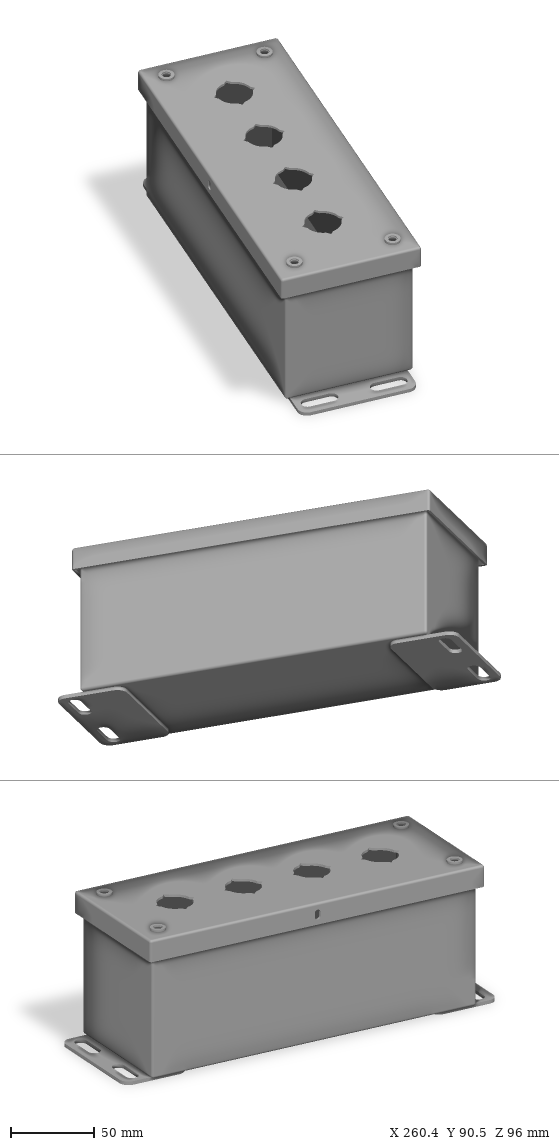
import cadquery as cq

total_length = 260.4
total_height = 96.0
sheet = 1.5
bend_radius = 1.5

foot_thickness = 2.3
foot_length = 44.3
foot_width = 76.3
foot_corner_radius = 6.2
slot_width = 8.0
slot_length = 23.7
slot_x = 120.5
slot_y = 22.5

box_length = 225.7
box_width = 82.5
box_top = 89.0

cover_length = 233.0
cover_width = 90.5
cover_depth = 14.0
head_height = 1.5
cover_top = total_height - head_height
cover_bottom = cover_top - cover_depth
cover_underside = cover_top - sheet

button_count = 4
button_pitch = 47.6
button_row_x = -1.3
button_diameter = 22.5
notch_reach = 13.3
notch_side = 4.2

skirt_slot_width = 4.0
skirt_slot_height = 6.5
skirt_slot_z = 87.0

screw_x = 103.4
screw_y = 31.8
head_diameter = 9.6
shaft_diameter = 6.0
screw_length = 27.0
socket_diameter = 5.7
socket_depth = 0.8
bore_diameter = 5.0
bore_depth = 5.2

stud_diameter = 6.8
stud_x = 86.7
stud_y = -24.7


def sheet_tray(length, width, height, closed_face):
    """Folded sheet tray standing on Z = 0, with one closed face and rounded outer edges."""
    outer = cq.Workplane("XY").box(length, width, height, centered=(True, True, False))
    outer = outer.edges("|Z").fillet(bend_radius).faces(closed_face).edges().fillet(bend_radius)
    cavity = cq.Workplane("XY").box(
        length - 2 * sheet, width - 2 * sheet, height - sheet, centered=(True, True, False)
    )
    if closed_face == "<Z":
        cavity = cavity.translate((0, 0, sheet))
    return outer.cut(cavity)


def make_foot(side):
    """Slotted mounting foot at one end of the box; side is -1 or 1."""
    foot_x = side * (total_length - foot_length) / 2
    plate = (
        cq.Workplane("XY")
        .center(foot_x, 0)
        .rect(foot_length, foot_width)
        .extrude(foot_thickness)
        .edges("|Z")
        .fillet(foot_corner_radius)
    )
    slots = (
        cq.Workplane("XY")
        .pushPoints([(side * slot_x, -slot_y), (side * slot_x, slot_y)])
        .slot2D(slot_length, slot_width, 90)
        .extrude(foot_thickness)
    )
    return plate.cut(slots)


def make_box():
    """Open-topped box with a foot fixed under each end."""
    box = sheet_tray(box_length, box_width, box_top - foot_thickness, "<Z")
    box = box.translate((0, 0, foot_thickness))
    for side in (-1, 1):
        box = box.union(make_foot(side))
    return box


def make_button_hole():
    """Cutter for a round hole with four pointed notches, centred on the Z axis."""
    cutter = cq.Workplane("XY").circle(button_diameter / 2).extrude(sheet)
    notch_centre = notch_reach - notch_side / 2 ** 0.5
    for turn in range(4):
        notch = cq.Workplane("XY").rect(notch_side, notch_side).extrude(sheet)
        notch = notch.rotate((0, 0, 0), (0, 0, 1), 45).translate((notch_centre, 0, 0))
        cutter = cutter.union(notch.rotate((0, 0, 0), (0, 0, 1), 90 * turn))
    return cutter.translate((0, 0, cover_underside))


def make_screw():
    """Cover screw on the Z axis, with a stepped socket in its head that runs into the shaft."""
    cover_plane = cq.Workplane("XY", origin=(0, 0, cover_top))
    head = cover_plane.circle(head_diameter / 2).extrude(head_height)
    shaft = cover_plane.circle(shaft_diameter / 2).extrude(-screw_length)
    return (
        head.union(shaft)
        .faces(">Z")
        .workplane()
        .cboreHole(bore_diameter, socket_diameter, socket_depth, bore_depth)
    )


def make_stud():
    """Stud filling a round hole in the cover, flush with both faces of the sheet."""
    stud = cq.Workplane("XY").circle(stud_diameter / 2).extrude(sheet)
    return stud.translate((stud_x, stud_y, cover_underside))


def make_cover():
    """Cover with its button holes, skirt slot, stud hole and four screws."""
    cover = sheet_tray(cover_length, cover_width, cover_depth, ">Z").translate((0, 0, cover_bottom))

    first_button_x = button_row_x - (button_count - 1) * button_pitch / 2
    for index in range(button_count):
        cover = cover.cut(make_button_hole().translate((first_button_x + index * button_pitch, 0, 0)))

    skirt_slot = (
        cq.Workplane("XZ", origin=(0, -cover_width / 2 + sheet, skirt_slot_z))
        .slot2D(skirt_slot_height, skirt_slot_width, 90)
        .extrude(sheet)
    )
    cover = cover.cut(skirt_slot).cut(make_stud())

    for x in (-screw_x, screw_x):
        for y in (-screw_y, screw_y):
            screw_hole = cq.Workplane("XY", origin=(x, y, cover_underside)).circle(shaft_diameter / 2)
            cover = cover.cut(screw_hole.extrude(sheet)).union(make_screw().translate((x, y, 0)))
    return cover


box = make_box()
cover = make_cover()
stud = make_stud()

result = cq.Compound.makeCompound([box.val(), cover.val(), stud.val()])